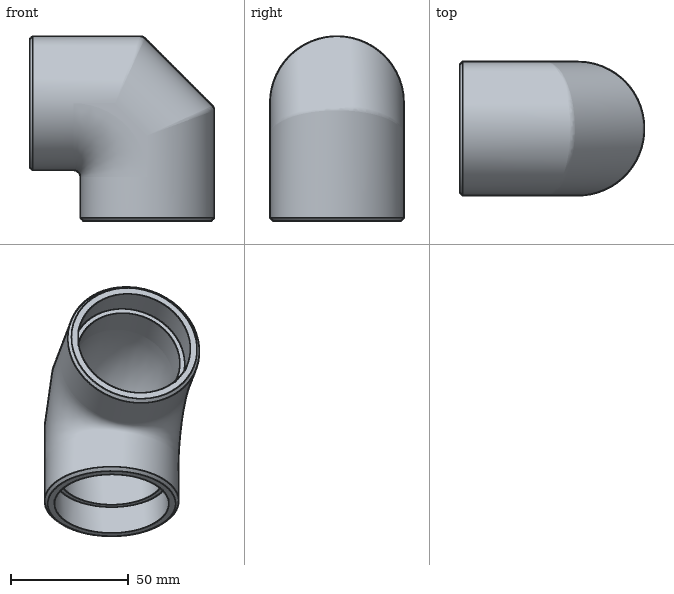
import cadquery as cq
import math

length = 78.5
outer_diameter = 57.0
socket_diameter = 48.6
bore_diameter = 44.4
socket_depth = 12.7
rim_chamfer = 1.3
miter_fillet = 2.75
leg_length = 18.7
bore_leg_length = 26.85
knee = 36.35

outer_radius = outer_diameter / 2
axis = length - outer_radius
miter_run = outer_radius * math.tan(math.pi / 8)


def round_bend(radius, straight):
    """Quarter torus joining two legs of the given straight length."""
    bend_radius = axis - straight
    return (
        cq.Workplane("YZ", origin=(straight, 0, axis))
        .circle(radius)
        .revolve(90, (0, -bend_radius, 0), (1, -bend_radius, 0))
    )


def leg_pair(diameter, depth):
    """Cylinders running inward from both open ends."""
    along_x = cq.Workplane("YZ", origin=(0, 0, axis)).circle(diameter / 2).extrude(depth)
    along_z = cq.Workplane("XY", origin=(axis, 0, 0)).circle(diameter / 2).extrude(depth)
    return along_x.union(along_z)


def half_tube(start, end, miter_start, miter_end):
    """Outer half cylinder along an axis segment, trimmed by its miter lines."""
    run = cq.Vector(end[0] - start[0], 0, end[1] - start[1])
    direction = run.normalized()
    overrun = outer_radius
    origin = cq.Vector(start[0], 0, start[1]) - direction * overrun
    cylinder = cq.Workplane(
        cq.Plane(origin=origin, xDir=(0, 1, 0), normal=direction)
    ).circle(outer_radius).extrude(run.Length + 2 * overrun)
    wedge = (
        cq.Workplane("XZ", origin=(0, outer_radius, 0))
        .polyline([start, miter_start, miter_end, end])
        .close()
        .extrude(outer_diameter)
    )
    return cylinder.intersect(wedge)


def mitered_back():
    """Three half tubes meeting at 22.5 degree miters, with rounded miter edges."""
    path = [(0, axis), (knee, axis), (axis, knee), (axis, 0)]
    corners = [(0, length), (knee + miter_run, length), (length, knee + miter_run), (length, 0)]
    back = half_tube(path[0], path[1], corners[0], corners[1])
    for i in (1, 2):
        back = back.union(half_tube(path[i], path[i + 1], corners[i], corners[i + 1]))
    for x, z in corners[1:3]:
        edge = cq.selectors.NearestToPointSelector((x, 0, z))
        back = back.edges(edge).fillet(miter_fillet)
    return back


def flat_cheeks():
    """Slab filling the area between the round bend and the mitered back."""
    bend_radius = axis - leg_length
    return (
        cq.Workplane("XZ", origin=(0, outer_radius, 0))
        .moveTo(leg_length, axis)
        .lineTo(knee, axis)
        .lineTo(axis, knee)
        .lineTo(axis, leg_length)
        .radiusArc((leg_length, axis), -bend_radius)
        .close()
        .extrude(outer_diameter)
    )


body = (
    mitered_back()
    .union(flat_cheeks())
    .union(round_bend(outer_radius, leg_length))
    .union(leg_pair(outer_diameter, leg_length))
    .clean()
)
for open_end in ("<X", "<Z"):
    body = body.faces(open_end).chamfer(rim_chamfer)

result = (
    body
    .cut(leg_pair(socket_diameter, socket_depth))
    .cut(leg_pair(bore_diameter, bore_leg_length))
    .cut(round_bend(bore_diameter / 2, bore_leg_length))
)